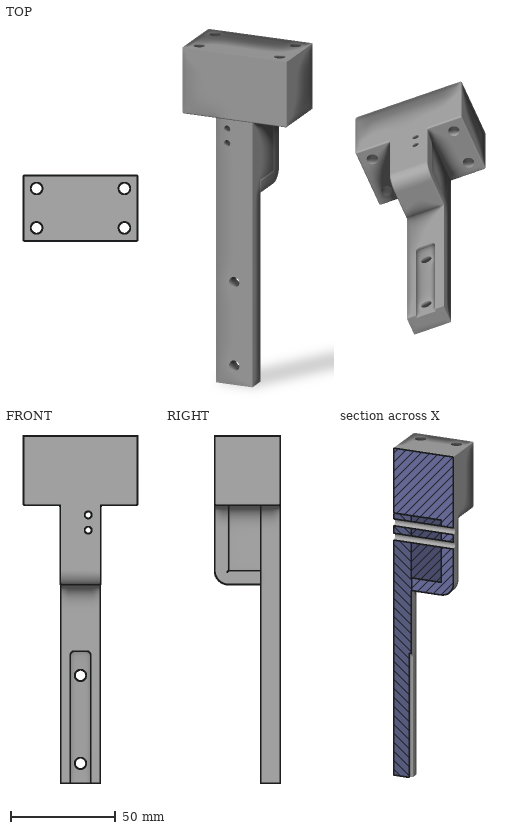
import cadquery as cq

overall_height = 166.75

head_width = 54.86
head_depth = 31.61
head_height = 33.3
head_bottom = overall_height - head_height
front_face = -head_depth
edge_radius = 0.8
head_hole_diameter = 5.5
head_hole_margin = 6.35

bar_width = 19.05
bar_thickness = 9.525
bar_front = -bar_thickness
groove_width = 9.9
groove_length = 63.5
groove_depth = 1.2
groove_corner_radius = 2.2
bar_hole_diameter = 5.33
bar_hole_spacing = 42.2
bar_lower_hole_height = 9.6

hook_width = 19.65
hook_thickness = 6.7
hook_drop = 38.1
hook_outer_radius = 6.8
hook_bottom = head_bottom - hook_drop
hook_back = front_face + hook_thickness
hook_floor = hook_bottom + hook_thickness
shoulder_radius = 0.5
shoulder_overhang = 3.0
shoulder_width = hook_width + 2 * shoulder_overhang
shoulder_height = 3.0

block_width = bar_width

cross_hole_diameter = 3.24
cross_hole_x = 3.7
cross_hole_spacing = 7.3
cross_hole_top_drop = 4.6
cross_hole_heights = [head_bottom - cross_hole_top_drop - i * cross_hole_spacing for i in (0, 1)]


def box(width, front, back, bottom, top):
    """Box centred on X = 0 between the given front, back, bottom and top planes."""
    return (
        cq.Workplane("XY", origin=(0, (front + back) / 2, bottom))
        .rect(width, back - front)
        .extrude(top - bottom)
    )


def holes_along_y(diameter, x, heights):
    """Cutting cylinders along Y through the full depth, one at each height."""
    centres = [(x, height) for height in heights]
    return cq.Workplane("XZ").pushPoints(centres).circle(diameter / 2).extrude(head_depth)


cross_holes = holes_along_y(cross_hole_diameter, cross_hole_x, cross_hole_heights)


def make_head():
    """Head block with all edges rounded except those of its top face."""
    head = box(head_width, front_face, 0, head_bottom, overall_height)
    head = head.edges("|Z or <Z").fillet(edge_radius)
    holes = (
        cq.Workplane("XY", origin=(0, front_face / 2, head_bottom))
        .rect(head_width - 2 * head_hole_margin, head_depth - 2 * head_hole_margin, forConstruction=True)
        .vertices()
        .circle(head_hole_diameter / 2)
        .extrude(head_height)
    )
    return head.cut(holes)


def make_hook():
    """L-shaped hook with rounded side edges; its wider top lies in the head and blends into its underside."""
    shoulder_top = head_bottom + shoulder_height
    hook = box(hook_width, front_face, bar_front, hook_bottom, head_bottom)
    hook = hook.edges("|X and <Y and <Z").fillet(hook_outer_radius)
    hook = hook.cut(box(hook_width, hook_back, bar_front, hook_floor, head_bottom))
    hook = hook.union(box(shoulder_width, front_face, hook_back, head_bottom, shoulder_top))

    corner_reach = (hook_width + shoulder_width) / 4
    shoulder_corners = cq.selectors.BoxSelector(
        (-corner_reach, front_face, head_bottom - shoulder_radius),
        (corner_reach, hook_back, head_bottom + shoulder_radius),
    )
    hook = hook.edges("|Y").edges(shoulder_corners).fillet(shoulder_radius)

    side_edges = cq.selectors.BoxSelector(
        (-hook_width, front_face - edge_radius, hook_floor - edge_radius),
        (hook_width, bar_front - edge_radius, head_bottom - 2 * shoulder_radius),
    )
    return hook.edges("|Y or |Z").edges(side_edges).fillet(edge_radius)


def make_housing():
    """Head and hook as one body."""
    return make_head().union(make_hook()).cut(cross_holes)


def make_bar():
    """Flat bar with an open-ended groove at its lower end and two mounting holes in the groove."""
    bar = box(bar_width, bar_front, 0, 0, head_bottom)
    groove = box(groove_width, bar_front, bar_front + groove_depth, 0, groove_length)
    groove = groove.edges("|Y and >Z").fillet(groove_corner_radius)
    hole_heights = [bar_lower_hole_height + i * bar_hole_spacing for i in (0, 1)]
    return bar.cut(groove).cut(holes_along_y(bar_hole_diameter, 0, hole_heights)).cut(cross_holes)


def make_block():
    """Block filling the space enclosed by the bar, the hook and the head."""
    return box(block_width, hook_back, bar_front, hook_floor, head_bottom).cut(cross_holes)


housing = make_housing()
bar = make_bar()
block = make_block()

result = cq.Compound.makeCompound([housing.val(), bar.val(), block.val()])